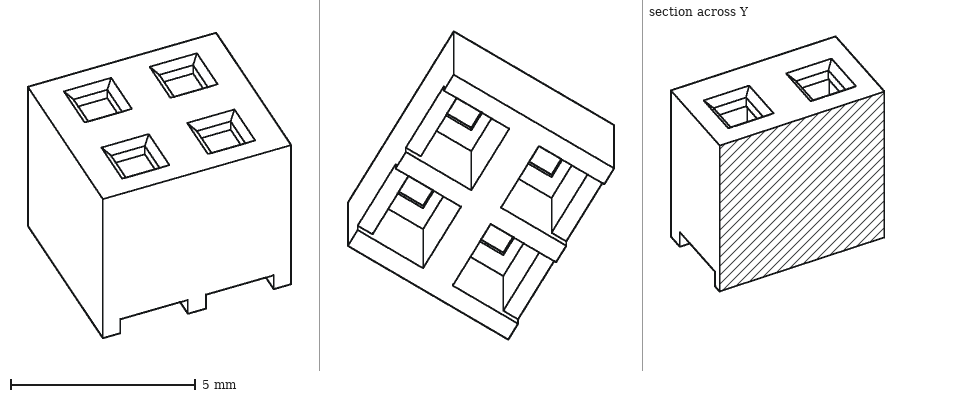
import cadquery as cq

rows = 2
columns = 2
pitch = 2.54
end_margin = 0.25
length_x = columns * pitch
length_y = rows * pitch + 2 * end_margin
height = 5.0

throat_side = 1.0
lead_in = 0.2
cavity_top_depth = 0.5
cavity_x = 1.6
cavity_y = 2.0

recess_height = 0.5
recess_y = cavity_y
recess_x = (pitch + cavity_x) / 2


def row_offset(index, count):
    """Distance of an evenly pitched position from the middle of its row."""
    return (index - (count - 1) / 2) * pitch


socket_centres = [
    (row_offset(column, columns), row_offset(row, rows))
    for column in range(columns)
    for row in range(rows)
]


def make_socket():
    """Cutter for one socket, centred on the Z axis, with its mouth at the housing top."""
    mouth_side = throat_side + 2 * lead_in
    funnel = (
        cq.Workplane("XY", origin=(0, 0, height))
        .rect(mouth_side, mouth_side)
        .workplane(offset=-lead_in)
        .rect(throat_side, throat_side)
        .loft(ruled=True)
    )
    throat = cq.Workplane("XY").rect(throat_side, throat_side).extrude(height - lead_in)
    cavity = cq.Workplane("XY").rect(cavity_x, cavity_y).extrude(height - cavity_top_depth)
    return funnel.union(throat).union(cavity)


def make_recess(side, row_y):
    """Cutter for a recess running inward from the X side given by the sign of side."""
    centre_x = side * (length_x - recess_x) / 2
    return cq.Workplane("XY").center(centre_x, row_y).rect(recess_x, recess_y).extrude(recess_height)


result = cq.Workplane("XY").rect(length_x, length_y).extrude(height)

socket = make_socket()
for centre_x, centre_y in socket_centres:
    result = result.cut(socket.translate((centre_x, centre_y, 0)))

for row in range(rows):
    row_y = row_offset(row, rows)
    for side in (-1, 1):
        result = result.cut(make_recess(side, row_y))